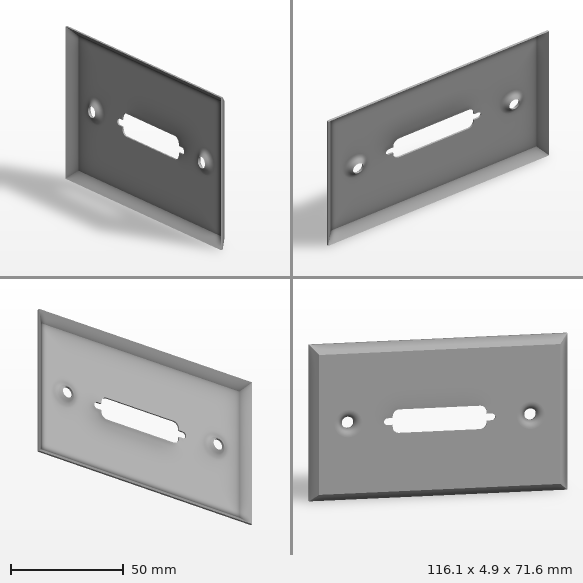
import cadquery as cq
import math

length = 116.1
height = 71.6
depth = 4.9
sheet = 0.77

lip = sheet * math.sqrt(2)
outer_bevel = depth - lip
floor_y = depth - sheet
inner_bevel = floor_y

opening_length = 42.3
opening_height = 10.9
opening_radius = 3.0
slot_span = 50.0
slot_height = 3.3

dimple_spacing = 82.1
dimple_radius = 6.3
flare_radius = 3.3
flare_angle = math.radians(45)
hole_radius = 2.7


def bevelled_block(y_start, y_end, bevel):
    """Rectangular frustum narrowing by 45 degrees towards +Y."""
    return (
        cq.Workplane("XZ", origin=(0, y_start, 0))
        .rect(length, height)
        .workplane(offset=y_start - y_end)
        .rect(length - 2 * bevel, height - 2 * bevel)
        .loft(ruled=True)
    )


def tray():
    lip_block = cq.Workplane("XY").box(length, lip, height).translate((0, lip / 2, 0))
    outside = lip_block.union(bevelled_block(lip, depth, outer_bevel))
    return outside.cut(bevelled_block(0, floor_y, inner_bevel))


def connector_opening():
    opening = (
        cq.Workplane("XY")
        .box(opening_length, 2 * depth, opening_height)
        .edges("|Y")
        .fillet(opening_radius)
    )
    slots = cq.Workplane("XZ").slot2D(slot_span, slot_height).extrude(depth, both=True)
    return opening.union(slots)


def dimple_cone(base_y, x):
    """Solid cone towards -Y that flares tangentially into the face at base_y."""
    arc_centre_y = floor_y - flare_radius
    arc_radius = base_y - arc_centre_y

    def arc_point(angle):
        return (
            dimple_radius - arc_radius * math.sin(angle),
            arc_centre_y + arc_radius * math.cos(angle),
        )

    shoulder = arc_point(flare_angle)
    tip_y = shoulder[1] - (shoulder[0] - hole_radius) * math.tan(flare_angle)
    return (
        cq.Workplane("XY")
        .moveTo(0, base_y)
        .lineTo(dimple_radius, base_y)
        .threePointArc(arc_point(flare_angle / 2), shoulder)
        .lineTo(hole_radius, tip_y)
        .lineTo(0, tip_y)
        .close()
        .revolve(360, (0, 0), (0, 1))
        .translate((x, 0, 0))
    )


def add_dimple(plate, x):
    """Press a dimple into the plate and pierce its screw hole."""
    hole = cq.Workplane("XZ").center(x, 0).circle(hole_radius).extrude(depth, both=True)
    return plate.union(dimple_cone(floor_y, x)).cut(dimple_cone(depth, x)).cut(hole)


result = tray().cut(connector_opening())
for side in (-1, 1):
    result = add_dimple(result, side * dimple_spacing / 2)